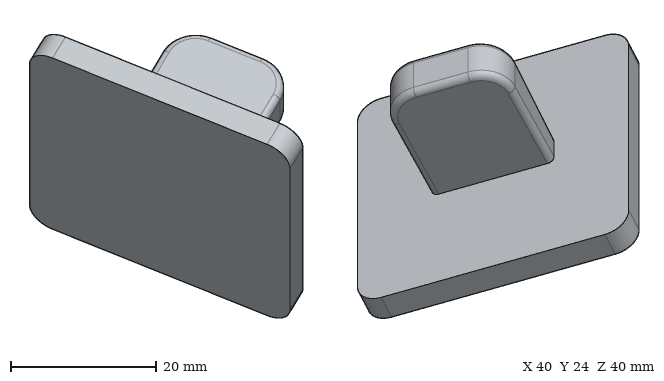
import cadquery as cq

plate_side = 40.0
plate_thickness = 4.0
plate_corner_radius = 3.5

handle_width = 18.0
handle_length = 20.0
handle_root_thickness = 5.0
handle_tip_thickness = 7.0
handle_corner_radius = 5.0
handle_edge_radius = 1.0

handle_tip_y = plate_thickness + handle_length


def make_plate():
    """Square plate with rounded corners."""
    return (
        cq.Workplane("XZ")
        .rect(plate_side, plate_side)
        .extrude(-plate_thickness)
        .edges("|Y")
        .fillet(plate_corner_radius)
    )


def make_handle():
    """Tapered grip with rounded tip corners and softened upper and lower rims."""
    half_root = handle_root_thickness / 2
    half_tip = handle_tip_thickness / 2
    side_profile = [
        (plate_thickness, -half_root),
        (handle_tip_y, -half_tip),
        (handle_tip_y, half_tip),
        (plate_thickness, half_root),
    ]
    grip = cq.Workplane("YZ").polyline(side_profile).close().extrude(handle_width / 2, both=True)
    grip = grip.edges("|Z and >Y").fillet(handle_corner_radius)

    rims = grip.faces(">Z or <Z").edges("not(<Y)")
    return rims.fillet(handle_edge_radius)


plate = make_plate()
handle = make_handle()

result = cq.Compound.makeCompound([plate.val(), handle.val()])